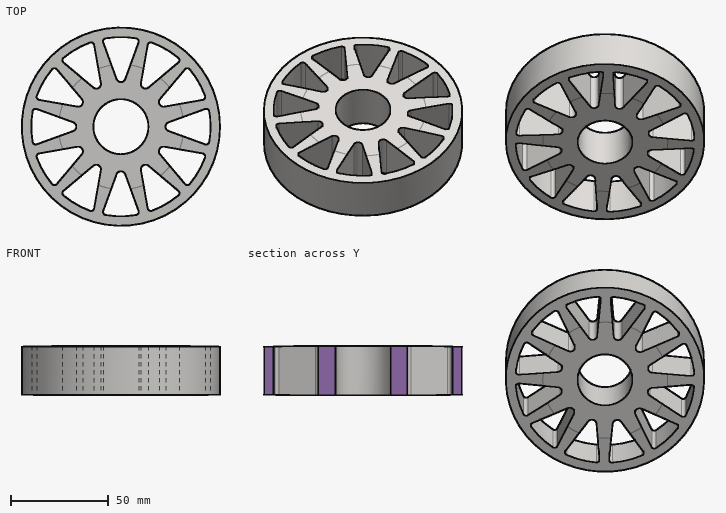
import cadquery as cq
import math

outer_diameter = 101.6
hub_height = 25.4
bore_diameter = 28.0

flat_face_radius = 32.0
rim_drop = 0.35

window_count = 12
window_apex_radius = 18.4
window_half_angle = 20.0
window_outer_radius = 45.8
window_tip_fillet = 2.3
window_corner_fillet = 1.5

outer_radius = outer_diameter / 2
bore_radius = bore_diameter / 2
half_height = hub_height / 2
rim_half_height = half_height - rim_drop


def wheel_body():
    """Bored disc, revolved so that both end faces slope gently outside the hub."""
    profile = [
        (bore_radius, -half_height),
        (flat_face_radius, -half_height),
        (outer_radius, -rim_half_height),
        (outer_radius, rim_half_height),
        (flat_face_radius, half_height),
        (bore_radius, half_height),
    ]
    return cq.Workplane("XZ").polyline(profile).close().revolve(360, (0, 0), (0, 1))


def window_cutter():
    """Prism for one window on the +X axis: straight sides, arc toward the rim, rounded corners."""
    slope = math.tan(math.radians(window_half_angle))
    quadratic = 1 + slope**2
    linear = slope**2 * window_apex_radius
    constant = linear * window_apex_radius - window_outer_radius**2
    corner_x = (linear + math.sqrt(linear**2 - quadratic * constant)) / quadratic
    corner_y = slope * (corner_x - window_apex_radius)

    prism = (
        cq.Workplane("XY", origin=(0, 0, -half_height))
        .moveTo(window_apex_radius, 0)
        .lineTo(corner_x, -corner_y)
        .threePointArc((window_outer_radius, 0), (corner_x, corner_y))
        .close()
        .extrude(hub_height)
    )
    prism = prism.edges("|Z and <X").fillet(window_tip_fillet)
    outer_corners = prism.edges("|Z and (<Y or >Y)")
    return outer_corners.fillet(window_corner_fillet)


result = wheel_body()
cutter = window_cutter()
for index in range(window_count):
    angle = index * 360 / window_count
    result = result.cut(cutter.rotate((0, 0, 0), (0, 0, 1), angle))